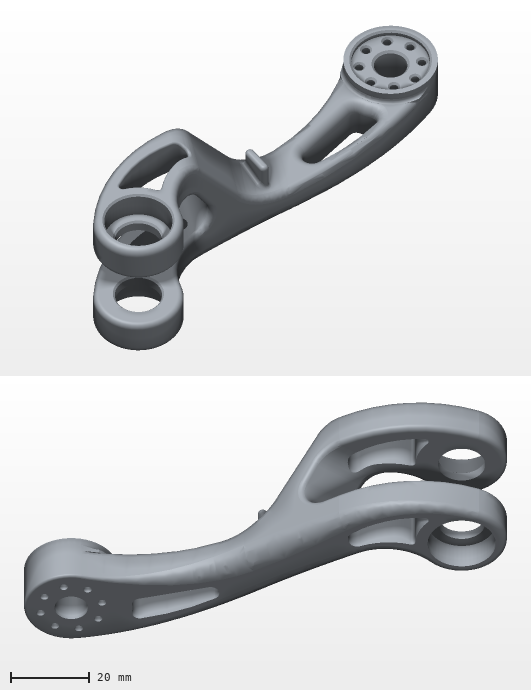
import cadquery as cq
import math

DISC_Y = 102.0
DISC_RADIUS = 12.0
DISC_HEIGHT = 13.0
FORK_RADIUS = 11.5
ARM_HEIGHT = 10.0
FORK_HEIGHT = 37.0
TINE_THICKNESS = 10.0

LEAN = math.radians(16.7)
LEFT_FORK_X = -17.0
LEFT_FORK_RADIUS = 40.0
LEFT_DISC_RADIUS = 57.0
RIGHT_DISC_X = 12.75
RIGHT_DISC_RADIUS = 125.0
RIGHT_FORK_RADIUS = 14.5

SKEW = math.radians(40.0)
SLOPE = math.radians(55.5)
RAMP_START = 44.85
RAMP_FOOT_RADIUS = 17.7
RAMP_CREST_RADIUS = 7.2
GAP_SLOPE = math.radians(60.0)
GAP_AXIS = 16.3
GAP_LOWER_RADIUS = 5.7
GAP_UPPER_RADIUS = 7.2

TOP_FILLET = 2.0
GAP_FILLET = 1.5
BOTTOM_FILLET_DISC = 0.75
BOTTOM_FILLET_ARM = 5.0
BOTTOM_FILLET_NECK = 3.75
BOTTOM_FILLET_FORK = 2.0

RECESS_DIAMETER = 20.0
RECESS_RIM_CHAMFER = 0.5
RECESS_DEPTH = 1.5
CENTER_BORE_DIAMETER = 8.5
CENTER_BORE_CHAMFER = 0.6
BOLT_HOLE_COUNT = 8
BOLT_CIRCLE_RADIUS = 8.0
BOLT_HOLE_DIAMETER = 2.1
BOLT_HOLE_CHAMFER = 0.5
COLLAR_RADIUS = 1.0
COLLAR_ROOT = 1.0

FORK_BORE_DIAMETER = 12.0
FORK_BORE_CHAMFER = 0.5
BEARING_DIAMETER = 17.3
BEARING_DEPTH = 7.0
BEARING_CHAMFER = 0.5

POCKET_EYE_RADIUS = 11.75
POCKET_WALL = 4.25
POCKET_LEFT_RADIUS = 28.0
POCKET_LEFT_Y = 14.7
POCKET_END_Y = 27.7
POCKET_END_FILLET = 2.2
POCKET_CORNER_FILLET = 1.0
POCKET_EDGE_FILLET = 0.6

SLOT_DISC_RADIUS = 15.5
SLOT_LEFT_X = 0.75
SLOT_RIGHT_X = 8.1
SLOT_RIGHT_RADIUS = 60.0
SLOT_RIGHT_Y = 84.0
SLOT_END_FILLET = 2.3
SLOT_CORNER_FILLET = 2.0
SLOT_EDGE_FILLET = 2.95

TAB_X = -1.7
TAB_Y = 50.0
TAB_LENGTH = 8.5
TAB_THICKNESS = 2.4
TAB_TOP = 18.0
TAB_TOP_FILLET = 1.0
TAB_ROOT_FILLET = 0.9

THROUGH = 200.0
TOLERANCE = 1e-3


def point_toward(center, target, distance):
    """Point at a distance from center in the direction of target."""
    dx = target[0] - center[0]
    dy = target[1] - center[1]
    scale = distance / math.hypot(dx, dy)
    return (center[0] + scale * dx, center[1] + scale * dy)


def offset_point(origin, direction, distance):
    return (origin[0] + distance * direction[0], origin[1] + distance * direction[1])


def dot(a, b):
    return a[0] * b[0] + a[1] * b[1]


def arc_center_on_line_offset(line_point, offset, circle_center, distance, sign):
    """Center at an offset from a leaning side and at a distance from a circle center.

    A sign of 1 takes the solution nearer the disc, -1 the one nearer the fork.
    """
    foot = offset_point(line_point, ACROSS, offset)
    rel = (foot[0] - circle_center[0], foot[1] - circle_center[1])
    along = dot(rel, ALONG)
    travel = -along + sign * math.sqrt(along**2 - dot(rel, rel) + distance**2)
    return offset_point(foot, ALONG, travel)


ALONG = (math.sin(LEAN), math.cos(LEAN))
ACROSS = (math.cos(LEAN), -math.sin(LEAN))

FORK_CENTER = (0.0, 0.0)
DISC_CENTER = (0.0, DISC_Y)

left_fork_x = LEFT_FORK_X + LEFT_FORK_RADIUS
left_fork_center = (
    left_fork_x,
    math.sqrt((LEFT_FORK_RADIUS - FORK_RADIUS) ** 2 - left_fork_x**2),
)
left_fork_eye = point_toward(left_fork_center, FORK_CENTER, LEFT_FORK_RADIUS)
left_line_low = offset_point(left_fork_center, ACROSS, -LEFT_FORK_RADIUS)
left_disc_center = arc_center_on_line_offset(
    left_line_low, -LEFT_DISC_RADIUS, DISC_CENTER, LEFT_DISC_RADIUS + DISC_RADIUS, -1
)
left_line_high = offset_point(left_disc_center, ACROSS, LEFT_DISC_RADIUS)
left_disc_tangent = point_toward(left_disc_center, DISC_CENTER, LEFT_DISC_RADIUS)

right_disc_x = RIGHT_DISC_X - RIGHT_DISC_RADIUS
right_disc_center = (
    right_disc_x,
    DISC_Y - math.sqrt((RIGHT_DISC_RADIUS - DISC_RADIUS) ** 2 - right_disc_x**2),
)
right_disc_tangent = point_toward(right_disc_center, DISC_CENTER, RIGHT_DISC_RADIUS)
right_line_high = offset_point(right_disc_center, ACROSS, RIGHT_DISC_RADIUS)
right_fork_center = arc_center_on_line_offset(
    right_line_high, RIGHT_FORK_RADIUS, FORK_CENTER, RIGHT_FORK_RADIUS + FORK_RADIUS, 1
)
right_line_low = offset_point(right_fork_center, ACROSS, -RIGHT_FORK_RADIUS)
right_fork_eye = point_toward(right_fork_center, FORK_CENTER, RIGHT_FORK_RADIUS)

bottom_radii = [
    (left_disc_tangent, BOTTOM_FILLET_DISC),
    (left_line_high, BOTTOM_FILLET_ARM),
    (left_line_low, BOTTOM_FILLET_NECK),
    (left_fork_eye, BOTTOM_FILLET_FORK),
    (right_fork_eye, BOTTOM_FILLET_FORK),
    (right_line_low, BOTTOM_FILLET_NECK),
    (right_line_high, BOTTOM_FILLET_ARM),
    (right_disc_tangent, BOTTOM_FILLET_DISC),
]


def arc_middle(center, start, end, radius):
    """Middle point of the shorter arc from start to end."""
    chord_middle = ((start[0] + end[0]) / 2, (start[1] + end[1]) / 2)
    return point_toward(center, chord_middle, radius)


def planform():
    return (
        cq.Workplane("XY")
        .moveTo(*left_disc_tangent)
        .threePointArc(
            arc_middle(left_disc_center, left_disc_tangent, left_line_high, LEFT_DISC_RADIUS),
            left_line_high,
        )
        .lineTo(*left_line_low)
        .threePointArc(
            arc_middle(left_fork_center, left_line_low, left_fork_eye, LEFT_FORK_RADIUS),
            left_fork_eye,
        )
        .threePointArc(
            (FORK_RADIUS * ACROSS[0], FORK_RADIUS * ACROSS[1]),
            right_fork_eye,
        )
        .threePointArc(
            arc_middle(right_fork_center, right_fork_eye, right_line_low, RIGHT_FORK_RADIUS),
            right_line_low,
        )
        .lineTo(*right_line_high)
        .threePointArc(
            arc_middle(right_disc_center, right_line_high, right_disc_tangent, RIGHT_DISC_RADIUS),
            right_disc_tangent,
        )
        .threePointArc((0, DISC_Y + DISC_RADIUS), left_disc_tangent)
        .close()
        .extrude(FORK_HEIGHT)
    )


def profile_plane():
    """Plane of the side profile: local x runs up the arm, local y is Z."""
    up_arm = (math.sin(SKEW), math.cos(SKEW), 0)
    ruling = (math.cos(SKEW), -math.sin(SKEW), 0)
    return cq.Workplane(cq.Plane(origin=(0, 0, 0), xDir=up_arm, normal=ruling))


def arc_on(center, radius, angle):
    return (center[0] + radius * math.cos(angle), center[1] + radius * math.sin(angle))


def side_envelope():
    """Everything below the arm top, the ramp and the top of the upper tine."""
    foot = (RAMP_START, ARM_HEIGHT + RAMP_FOOT_RADIUS)
    up = math.pi / 2
    foot_end = arc_on(foot, RAMP_FOOT_RADIUS, -up - SLOPE)
    foot_middle = arc_on(foot, RAMP_FOOT_RADIUS, -up - SLOPE / 2)
    crest_start_z = FORK_HEIGHT - RAMP_CREST_RADIUS * (1 - math.cos(SLOPE))
    crest_start_v = foot_end[0] - (crest_start_z - foot_end[1]) / math.tan(SLOPE)
    crest = (
        crest_start_v - RAMP_CREST_RADIUS * math.sin(SLOPE),
        FORK_HEIGHT - RAMP_CREST_RADIUS,
    )
    return (
        profile_plane()
        .moveTo(THROUGH, 0)
        .lineTo(THROUGH, ARM_HEIGHT)
        .lineTo(RAMP_START, ARM_HEIGHT)
        .threePointArc(foot_middle, foot_end)
        .lineTo(crest_start_v, crest_start_z)
        .threePointArc(arc_on(crest, RAMP_CREST_RADIUS, up - SLOPE / 2), (crest[0], FORK_HEIGHT))
        .lineTo(-THROUGH, FORK_HEIGHT)
        .lineTo(-THROUGH, 0)
        .close()
        .extrude(THROUGH, both=True)
    )


def fork_gap():
    """The opening between the tines, with a rounded throat."""
    gap_top = FORK_HEIGHT - TINE_THICKNESS
    up = math.pi / 2
    lower = (GAP_AXIS, TINE_THICKNESS + GAP_LOWER_RADIUS)
    throat_low = arc_on(lower, GAP_LOWER_RADIUS, up - GAP_SLOPE)
    throat_high_z = gap_top - GAP_UPPER_RADIUS * (1 - math.cos(GAP_SLOPE))
    throat_high_v = throat_low[0] - (throat_high_z - throat_low[1]) / math.tan(GAP_SLOPE)
    upper = (
        throat_high_v - GAP_UPPER_RADIUS * math.sin(GAP_SLOPE),
        gap_top - GAP_UPPER_RADIUS,
    )
    return (
        profile_plane()
        .moveTo(-THROUGH, TINE_THICKNESS)
        .lineTo(GAP_AXIS, TINE_THICKNESS)
        .threePointArc((GAP_AXIS + GAP_LOWER_RADIUS, lower[1]), throat_low)
        .lineTo(throat_high_v, throat_high_z)
        .threePointArc(arc_on(upper, GAP_UPPER_RADIUS, up - GAP_SLOPE / 2), (upper[0], gap_top))
        .lineTo(-THROUGH, gap_top)
        .close()
        .extrude(THROUGH, both=True)
    )


def outline_edges(body, tool=None):
    """Edges along the planform outline, above the underside; with a tool, only those on its surface."""
    picked = []
    for edge in body.edges().vals():
        direction = edge.tangentAt(0.5)
        middle = edge.positionAt(0.5)
        if abs(direction.z) > 1 - TOLERANCE or middle.z < TOLERANCE:
            continue
        is_ruling = edge.geomType() == "LINE" and direction.x * direction.y < -TOLERANCE
        if is_ruling:
            continue
        if tool and cq.Vertex.makeVertex(*middle.toTuple()).distance(tool.val()) > TOLERANCE:
            continue
        picked.append(edge)
    return picked


def round_underside(body):
    """Fillet of the lower outline whose radius changes from joint to joint."""
    solid = body.val()
    maker = cq.occ_impl.shapes.BRepFilletAPI_MakeFillet(solid.wrapped)
    maker.Add(body.faces("<Z").edges().vals()[0].wrapped)
    for vertex in body.faces("<Z").vertices().vals():
        for joint, radius in bottom_radii:
            if math.dist((vertex.X, vertex.Y), joint) < TOLERANCE:
                maker.SetRadius(radius, 1, vertex.wrapped)
    return cq.Workplane(cq.Shape.cast(maker.Shape()).Solids()[0])


def cylinder_between(center, radius, bottom, top):
    return cq.Workplane("XY", origin=(*center, bottom)).circle(radius).extrude(top - bottom)


def tall_cylinder(center, radius):
    return cylinder_between(center, radius, 0, FORK_HEIGHT)


def tall_block(x_min, x_max, y_min, y_max):
    size = (x_max - x_min, y_max - y_min, FORK_HEIGHT)
    return cq.Workplane("XY").box(*size, centered=False).translate((x_min, y_min, 0))


def tall_zone(y_min, y_max):
    """Selector for everything between two Y positions."""
    return cq.selectors.BoxSelector((-THROUGH, y_min, -THROUGH), (THROUGH, y_max, THROUGH))


def tine_pocket():
    """Pocket between the left wall, the right wall, the eye and a blunt end."""
    left_center = (LEFT_FORK_X + POCKET_WALL + POCKET_LEFT_RADIUS, POCKET_LEFT_Y)
    pocket = (
        tall_cylinder(left_center, POCKET_LEFT_RADIUS)
        .intersect(tall_block(LEFT_FORK_X, 0, 0, POCKET_END_Y))
        .cut(tall_cylinder(FORK_CENTER, POCKET_EYE_RADIUS))
        .cut(tall_cylinder(right_fork_center, RIGHT_FORK_RADIUS + POCKET_WALL))
    )
    pocket = pocket.edges("|Z").edges(">Y").fillet(POCKET_END_FILLET)
    return pocket.edges("|Z").edges(tall_zone(0, POCKET_LEFT_Y)).fillet(POCKET_CORNER_FILLET)


def arm_slot():
    """Slot between a straight left wall, a curved right wall and an arc around the disc."""
    right_center = (SLOT_RIGHT_X - SLOT_RIGHT_RADIUS, SLOT_RIGHT_Y)
    slot = (
        tall_cylinder(right_center, SLOT_RIGHT_RADIUS)
        .intersect(tall_block(SLOT_LEFT_X, RIGHT_DISC_X, left_line_low[1], DISC_Y))
        .cut(tall_cylinder(DISC_CENTER, SLOT_DISC_RADIUS))
    )
    slot = slot.edges("|Z").edges("<Y").fillet(SLOT_END_FILLET)
    return slot.edges("|Z").edges(tall_zone(SLOT_RIGHT_Y, DISC_Y)).fillet(SLOT_CORNER_FILLET)


def flared_slot_cutter():
    """Arm slot as a cutter that widens in a convex round up to the arm top."""
    block = cq.Workplane("XY").box(THROUGH, THROUGH, ARM_HEIGHT, centered=(True, True, False))
    block = block.translate((0, DISC_Y, 0))
    plate = block.cut(arm_slot())
    plate = plate.faces(">Z").wires(cq.selectors.LengthNthSelector(0)).fillet(SLOT_EDGE_FILLET)
    return block.cut(plate)


def countersunk_hole(center, bottom, top, diameter, chamfer):
    """Cutter for a hole from bottom to top with a conical mouth."""
    radius = diameter / 2
    hole = cylinder_between(center, radius, bottom, top)
    cone = cq.Solid.makeCone(radius, radius + chamfer, chamfer, pnt=(*center, top - chamfer))
    return hole.union(cq.Workplane(cone))


def disc():
    """Disc standing on the arm end; it also restores the arm edge that was rounded below it."""
    return cylinder_between(DISC_CENTER, DISC_RADIUS, ARM_HEIGHT / 2, DISC_HEIGHT)


def disc_collar(outline):
    """Concave fillet between the arm top and the disc, kept within the planform."""
    bottom = ARM_HEIGHT - COLLAR_ROOT
    outer = DISC_RADIUS + COLLAR_RADIUS
    top = ARM_HEIGHT + COLLAR_RADIUS
    middle = COLLAR_RADIUS * (1 - math.sqrt(0.5))
    ring = (
        cq.Workplane("XZ", origin=(0, DISC_Y, 0))
        .moveTo(DISC_RADIUS - COLLAR_ROOT, bottom)
        .lineTo(outer, bottom)
        .lineTo(outer, ARM_HEIGHT)
        .threePointArc((DISC_RADIUS + middle, ARM_HEIGHT + middle), (DISC_RADIUS, top))
        .lineTo(DISC_RADIUS - COLLAR_ROOT, top)
        .close()
        .revolve(360, (0, 0, 0), (0, 1, 0))
    )
    return ring.intersect(outline)


def disc_cuts():
    floor = DISC_HEIGHT - RECESS_DEPTH
    cuts = countersunk_hole(
        DISC_CENTER, floor, DISC_HEIGHT, RECESS_DIAMETER, RECESS_RIM_CHAMFER
    ).union(
        countersunk_hole(DISC_CENTER, 0, floor, CENTER_BORE_DIAMETER, CENTER_BORE_CHAMFER)
    )
    for index in range(BOLT_HOLE_COUNT):
        center = arc_on(DISC_CENTER, BOLT_CIRCLE_RADIUS, 2 * math.pi * index / BOLT_HOLE_COUNT)
        cuts = cuts.union(
            countersunk_hole(center, 0, floor, BOLT_HOLE_DIAMETER, BOLT_HOLE_CHAMFER)
        )
    return cuts


def fork_bores():
    seat = FORK_HEIGHT - BEARING_DEPTH
    lower = countersunk_hole(
        FORK_CENTER, 0, TINE_THICKNESS, FORK_BORE_DIAMETER, FORK_BORE_CHAMFER
    )
    lower = lower.union(cylinder_between(FORK_CENTER, BEARING_DIAMETER / 2, 0, BEARING_DEPTH))
    upper = countersunk_hole(
        FORK_CENTER, TINE_THICKNESS, seat, FORK_BORE_DIAMETER, FORK_BORE_CHAMFER
    )
    bearing = countersunk_hole(
        FORK_CENTER, seat, FORK_HEIGHT, BEARING_DIAMETER, BEARING_CHAMFER
    )
    return lower.union(upper).union(bearing)


def ramp_tab():
    tab = (
        cq.Workplane("XY", origin=(TAB_X, TAB_Y, ARM_HEIGHT))
        .transformed(rotate=(0, 0, -math.degrees(LEAN)))
        .slot2D(TAB_LENGTH, TAB_THICKNESS)
        .extrude(TAB_TOP - ARM_HEIGHT)
    )
    return tab.faces(">Z").edges().fillet(TAB_TOP_FILLET)


def round_pocket_mouth(body, pocket):
    """Fillet of the pocket edges on the upper side of the upper tine."""
    lowest = FORK_HEIGHT - TINE_THICKNESS + GAP_FILLET
    edges = [edge for edge in outline_edges(body, pocket) if edge.Center().z > lowest]
    return body.newObject(edges).fillet(POCKET_EDGE_FILLET)


def arm_blank(outline):
    """Solid arm with both tines, the throat and all outline edges rounded."""
    body = outline.intersect(side_envelope())
    body = body.newObject(outline_edges(body)).fillet(TOP_FILLET)
    body = round_underside(body)
    gap = fork_gap()
    body = body.cut(gap)
    return body.newObject(outline_edges(body, gap)).fillet(GAP_FILLET)


def add_tab(body):
    """Tab joined to the ramp with a root fillet."""
    tab = ramp_tab()
    body = body.union(tab)
    tab_zone = cq.selectors.BoxSelector(
        (TAB_X - TAB_LENGTH, TAB_Y - TAB_LENGTH, ARM_HEIGHT),
        (TAB_X + TAB_LENGTH, TAB_Y + TAB_LENGTH, TAB_TOP - 2 * TAB_TOP_FILLET),
    )
    root_edges = []
    for edge in body.edges(tab_zone).vals():
        middle = cq.Vertex.makeVertex(*edge.positionAt(0.5).toTuple())
        is_vertical = abs(edge.tangentAt(0.5).z) > 1 - TOLERANCE
        if middle.distance(tab.val()) < TOLERANCE and not is_vertical:
            root_edges.append(edge)
    return body.newObject(root_edges).fillet(TAB_ROOT_FILLET)


outline = planform()
pocket = tine_pocket()

result = arm_blank(outline).cut(pocket)
result = round_pocket_mouth(result, pocket)
result = result.cut(flared_slot_cutter())
result = result.union(disc()).union(disc_collar(outline))
result = result.cut(disc_cuts()).cut(fork_bores())
result = add_tab(result)